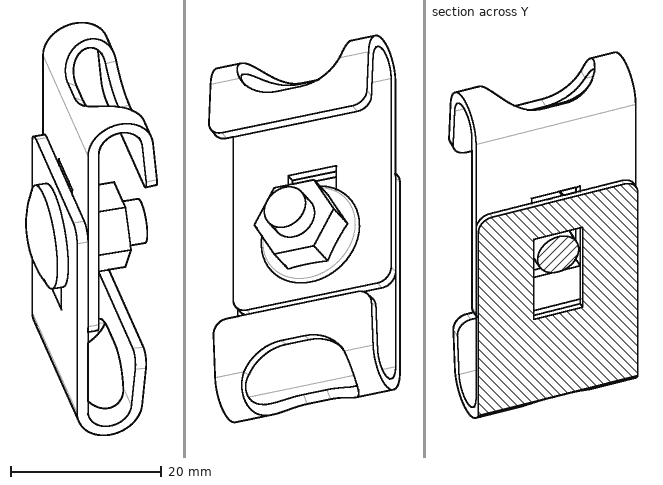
import cadquery as cq
import math


sheet = 1.5
hook_width = 23.0
bend_centre_z = 21.4
bend_inner_radius = 3.0
bend_outer_radius = bend_inner_radius + sheet
bend_mid_radius = bend_inner_radius + sheet / 2
flare_angle = 5.0
bend_angle = 180.0 - flare_angle
plate_end_z = -9.1
leg_length = 8.15
corner_radius = 2.0

slot_width = 7.0
slot_far_z = 9.9
slot_near_z = -slot_width / 2

opening_radius = 6.3
opening_straight = 3.4
opening_centre_angle = 130.0
wall_points = 24
cutter_inner_offset = 0.3 * bend_inner_radius
cutter_outer_offset = 1.1 * bend_outer_radius

shank_diameter = 6.0
shank_end_y = 10.5
head_diameter = 14.0
head_rim = 1.5
head_dome = 2.0

nut_height = 6.0
nut_across_flats = 10.0
hex_sides = 6
flange_diameter = 14.2
flange_rim = 1.1
flange_slope = 18.0


def around_bend(angle, radius):
    """Point (y, z) at an angle around the bend axis, measured from the plate."""
    turn = math.radians(angle)
    y = bend_outer_radius - radius * math.cos(turn)
    z = bend_centre_z + radius * math.sin(turn)
    return (y, z)


def along_leg(radius, distance):
    """Point (y, z) on the leg: bend radius it continues, and distance past the bend."""
    y, z = around_bend(bend_angle, radius)
    lean = math.radians(flare_angle)
    return (y + distance * math.sin(lean), z - distance * math.cos(lean))


def leg_plane():
    """Inner face of the leg: origin at the end of the bend, local Y down the leg, normal outward."""
    y, z = around_bend(bend_angle, bend_inner_radius)
    lean = math.radians(flare_angle)
    return cq.Plane(origin=(0, y, z), xDir=(1, 0, 0), normal=(0, math.cos(lean), math.sin(lean)))


def bent_strip():
    """Plate, bend and flared return leg at full width."""
    mid_angle = bend_angle / 2
    return (
        cq.Workplane("YZ")
        .moveTo(0, plate_end_z)
        .lineTo(0, bend_centre_z)
        .threePointArc(around_bend(mid_angle, bend_outer_radius), around_bend(bend_angle, bend_outer_radius))
        .lineTo(*along_leg(bend_outer_radius, leg_length))
        .lineTo(*along_leg(bend_inner_radius, leg_length))
        .lineTo(*around_bend(bend_angle, bend_inner_radius))
        .threePointArc(around_bend(mid_angle, bend_inner_radius), (sheet, bend_centre_z))
        .lineTo(sheet, plate_end_z)
        .close()
        .extrude(hook_width / 2, both=True)
    )


def round_free_corners(strip):
    """Round the four corners at the plate end and the leg end."""
    half_width = hook_width / 2
    plate_corners = [(x, sheet / 2, plate_end_z) for x in (-half_width, half_width)]
    leg_corners = [(x, *along_leg(bend_mid_radius, leg_length)) for x in (-half_width, half_width)]
    for corner in plate_corners + leg_corners:
        strip = strip.edges(cq.NearestToPointSelector(corner)).fillet(corner_radius)
    return strip


def bolt_slot():
    length = slot_far_z - slot_near_z
    return cq.Workplane("XY").box(slot_width, sheet, length).translate(
        (0, sheet / 2, (slot_far_z + slot_near_z) / 2)
    )


def bend_opening():
    """Part of the opening on the bend: walls run straight toward the bend axis.

    It is a loft between two flat outlines either side of the curved sheet. An obround point at
    angle phi from the middle lands on a flat outline at offset * tan(phi).
    """
    half_span = math.degrees(opening_radius / bend_mid_radius)
    start_angle = opening_centre_angle - half_span
    middle_turn = math.radians((start_angle + bend_angle) / 2)
    bend_end_distance = math.radians(bend_angle - opening_centre_angle) * bend_mid_radius
    first_turn = -math.pi / 2
    last_turn = math.asin(bend_end_distance / opening_radius)
    fractions = [i / (wall_points - 1) for i in range(wall_points)]

    def side_point(fraction, offset):
        turn = first_turn + fraction * (last_turn - first_turn)
        x = opening_straight / 2 + opening_radius * math.cos(turn)
        angle = math.radians(opening_centre_angle) + opening_radius * math.sin(turn) / bend_mid_radius
        return (x, offset * math.tan(angle - middle_turn), offset)

    def outline(offset):
        right = [cq.Vector(*side_point(fraction, offset)) for fraction in fractions]
        left = [cq.Vector(-point.x, point.y, point.z) for point in reversed(right)]
        edges = [
            cq.Edge.makeSpline(right, parameters=fractions),
            cq.Edge.makeLine(right[-1], left[0]),
            cq.Edge.makeSpline(left, parameters=[1 - f for f in reversed(fractions)]),
            cq.Edge.makeLine(left[-1], right[0]),
        ]
        return cq.Wire.assembleEdges(edges)

    cutter = cq.Solid.makeLoft([outline(cutter_inner_offset), outline(cutter_outer_offset)], True)
    frame = cq.Plane(
        origin=(0, bend_outer_radius, bend_centre_z),
        xDir=(1, 0, 0),
        normal=(0, -math.cos(middle_turn), math.sin(middle_turn)),
    )
    return cutter.moved(cq.Location(frame))


def leg_opening():
    """Part of the opening on the flat leg: the rest of the obround, cut square to the sheet."""
    centre = -math.radians(bend_angle - opening_centre_angle) * bend_mid_radius
    half_straight = opening_straight / 2
    half_start = half_straight + math.sqrt(opening_radius**2 - centre**2)
    start_turn = math.asin(-centre / opening_radius)
    middle_turn = (start_turn + math.pi / 2) / 2
    middle_x = half_straight + opening_radius * math.cos(middle_turn)
    middle_y = centre + opening_radius * math.sin(middle_turn)
    far_y = centre + opening_radius
    return (
        cq.Workplane(leg_plane())
        .moveTo(-half_start, 0)
        .lineTo(half_start, 0)
        .threePointArc((middle_x, middle_y), (half_straight, far_y))
        .lineTo(-half_straight, far_y)
        .threePointArc((-middle_x, middle_y), (-half_start, 0))
        .close()
        .extrude(sheet)
    )


def make_hook():
    hook = round_free_corners(bent_strip())
    return hook.cut(bolt_slot()).cut(cq.Workplane(bend_opening())).cut(leg_opening())


def make_bolt():
    """Mushroom-head bolt, revolved about the Y axis with its head under the front hook."""
    seat_y = -sheet
    rim_y = seat_y - head_rim
    crown_y = rim_y - head_dome
    head_radius = head_diameter / 2
    dome_radius = (head_radius**2 + head_dome**2) / (2 * head_dome)
    half_dome_turn = math.asin(head_radius / dome_radius) / 2
    dome_middle = (
        dome_radius * math.sin(half_dome_turn),
        crown_y + dome_radius * (1 - math.cos(half_dome_turn)),
    )
    return (
        cq.Workplane("XY")
        .moveTo(0, crown_y)
        .threePointArc(dome_middle, (head_radius, rim_y))
        .lineTo(head_radius, seat_y)
        .lineTo(shank_diameter / 2, seat_y)
        .lineTo(shank_diameter / 2, shank_end_y)
        .lineTo(0, shank_end_y)
        .close()
        .revolve(360, (0, 0, 0), (0, 1, 0))
    )


def make_nut():
    """Hexagon nut with a round-edged conical flange, seated on the rear hook."""
    seat_y = sheet
    rim_radius = flange_rim / 2
    rim_centre_radius = flange_diameter / 2 - rim_radius
    rim_centre_y = seat_y + rim_radius
    slope = math.radians(flange_slope)
    cone_start_radius = rim_centre_radius + rim_radius * math.sin(slope)
    cone_start_y = rim_centre_y + rim_radius * math.cos(slope)
    bore_radius = shank_diameter / 2
    cone_end_y = cone_start_y + (cone_start_radius - bore_radius) * math.tan(slope)
    flange = (
        cq.Workplane("YZ")
        .moveTo(seat_y, bore_radius)
        .lineTo(seat_y, rim_centre_radius)
        .threePointArc((rim_centre_y, flange_diameter / 2), (cone_start_y, cone_start_radius))
        .lineTo(cone_end_y, bore_radius)
        .close()
        .revolve(360, (0, 0, 0), (1, 0, 0))
    )
    hexagon = (
        cq.Workplane("XZ", origin=(0, seat_y + rim_radius, 0))
        .transformed(rotate=(0, 0, 180 / hex_sides))
        .polygon(hex_sides, nut_across_flats, circumscribed=True)
        .circle(bore_radius)
        .extrude(-(nut_height - rim_radius))
    )
    return flange.union(hexagon)


rear_hook = make_hook()
front_hook = make_hook().rotate((0, 0, 0), (0, 1, 0), 180).translate((0, -sheet, 0))
bolt = make_bolt()
nut = make_nut()

result = cq.Compound.makeCompound([body.solids().val() for body in (rear_hook, front_hook, bolt, nut)])